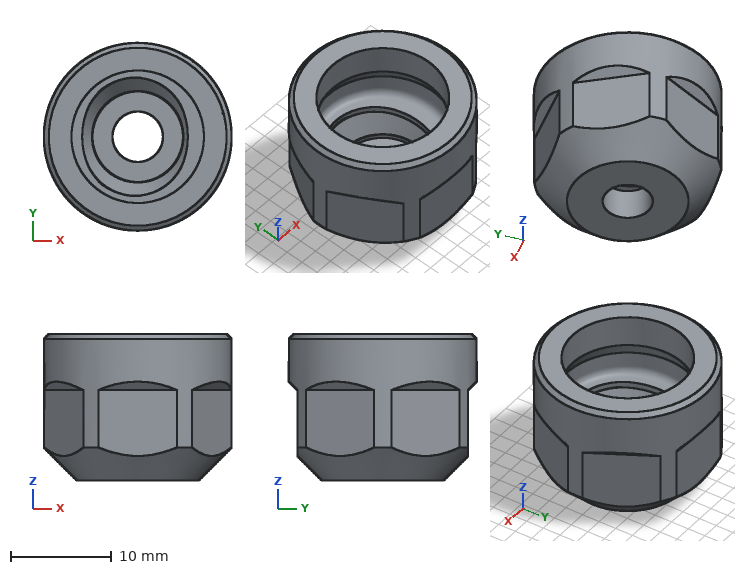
import cadquery as cq
import math

body_diameter = 18.7
body_height = 14.6
rim_chamfer = 0.5
nose_chamfer = 3.3

across_flats = 17.0
flat_top_z = 9.0
hex_sides = 6

bore_diameter = 13.19
bore_depth = 3.5
relief_diameter = 14.5
relief_start_depth = 4.95
ledge_depth = 7.5
relief_fillet = 0.8

lip_half_width = 5.26
lip_end_radius = 5.13
lip_end_offset = 0.74
lip_offset_x = -0.27
lip_thickness = 0.7

seat_top_diameter = 11.84
seat_end_diameter = 9.1
seat_half_angle = 30.0
recess_diameter = 9.0
recess_height = 0.5
hole_diameter = 5.0

body_radius = body_diameter / 2
ledge_z = body_height - ledge_depth
lip_bottom_z = ledge_z - lip_thickness
seat_top_radius = seat_top_diameter / 2
seat_end_radius = seat_end_diameter / 2
seat_depth = (seat_top_radius - seat_end_radius) / math.tan(math.radians(seat_half_angle))
seat_end_z = lip_bottom_z - seat_depth
recess_radius = recess_diameter / 2
recess_floor_z = seat_end_z - recess_height


def make_body():
    """Turned outside shape with both end chamfers."""
    body = cq.Workplane("XY").circle(body_radius).extrude(body_height)
    return body.faces(">Z").chamfer(rim_chamfer).faces("<Z").chamfer(nose_chamfer)


def make_flat_cutter(angle):
    """Material removed for one wrench flat, with a 45 degree run-out above it."""
    half_flats = across_flats / 2
    reach = body_diameter
    run_out = reach - half_flats
    cutter = (
        cq.Workplane("YZ")
        .moveTo(half_flats, 0)
        .lineTo(reach, 0)
        .lineTo(reach, flat_top_z + run_out)
        .lineTo(half_flats, flat_top_z)
        .close()
        .extrude(body_radius, both=True)
    )
    return cutter.rotate((0, 0, 0), (0, 0, 1), angle)


def make_bore():
    """Plain bore, flared relief and filleted ledge as one revolved cavity."""
    bore_radius = bore_diameter / 2
    relief_radius = relief_diameter / 2
    fillet_mid = relief_fillet * math.sqrt(0.5)
    fillet_x = relief_radius - relief_fillet
    fillet_z = ledge_z + relief_fillet
    return (
        cq.Workplane("XZ")
        .moveTo(0, body_height)
        .lineTo(bore_radius, body_height)
        .lineTo(bore_radius, body_height - bore_depth)
        .lineTo(relief_radius, body_height - relief_start_depth)
        .lineTo(relief_radius, fillet_z)
        .threePointArc((fillet_x + fillet_mid, fillet_z - fillet_mid), (fillet_x, ledge_z))
        .lineTo(0, ledge_z)
        .close()
        .revolve(360, (0, 0), (0, 1))
    )


def make_lip_opening():
    """Oval prism: two shallow side arcs joined tangentially by two end arcs."""
    bulge = lip_half_width - lip_end_radius
    side_center = (lip_end_offset**2 - bulge**2) / (2 * bulge)
    center_distance = math.hypot(side_center, lip_end_offset)
    joint_x = lip_end_radius * side_center / center_distance
    joint_y = lip_end_offset + lip_end_radius * lip_end_offset / center_distance
    half_length = lip_end_offset + lip_end_radius
    return (
        cq.Workplane("XY", origin=(lip_offset_x, 0, lip_bottom_z))
        .moveTo(joint_x, -joint_y)
        .threePointArc((lip_half_width, 0), (joint_x, joint_y))
        .threePointArc((0, half_length), (-joint_x, joint_y))
        .threePointArc((-lip_half_width, 0), (-joint_x, -joint_y))
        .threePointArc((0, -half_length), (joint_x, -joint_y))
        .close()
        .extrude(lip_thickness)
    )


def make_seat():
    """Conical seat narrowing downward, with a tiny step into a flat-bottomed recess."""
    return (
        cq.Workplane("XZ")
        .moveTo(0, recess_floor_z)
        .lineTo(recess_radius, recess_floor_z)
        .lineTo(recess_radius, seat_end_z)
        .lineTo(seat_end_radius, seat_end_z)
        .lineTo(seat_top_radius, lip_bottom_z)
        .lineTo(0, lip_bottom_z)
        .close()
        .revolve(360, (0, 0), (0, 1))
    )


def make_hole():
    """Plain hole through the whole part."""
    return cq.Workplane("XY").circle(hole_diameter / 2).extrude(body_height)


result = make_body()
for side in range(hex_sides):
    result = result.cut(make_flat_cutter(side * 360 / hex_sides))
for cavity in (make_bore(), make_lip_opening(), make_seat(), make_hole()):
    result = result.cut(cavity)